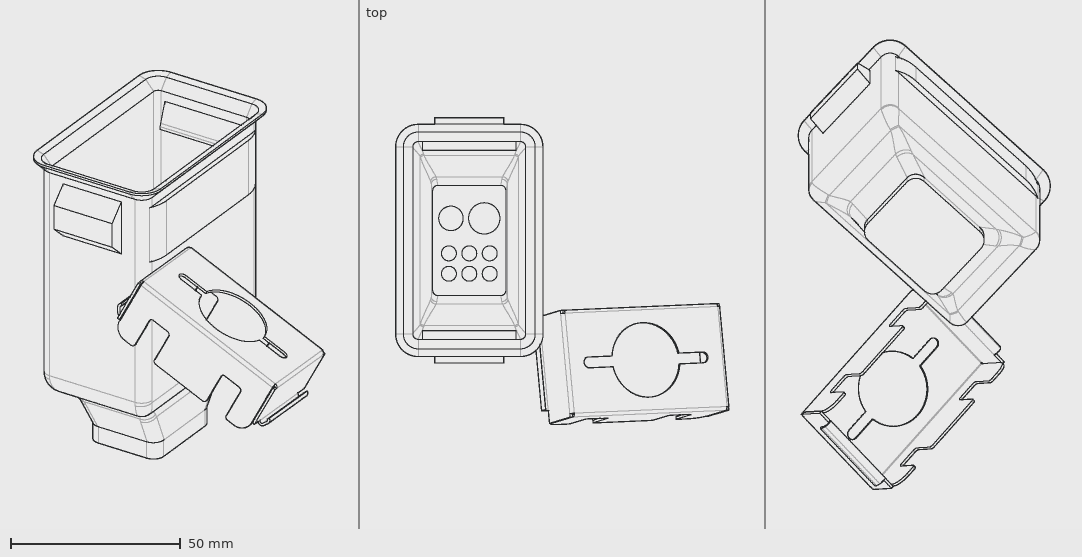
import cadquery as cq
import math

HEIGHT = 100.0
WALL = 2.0
BODY_HALF_X = 18.6
BODY_HALF_Y = 31.1
CORNER_RADIUS = 3.6

NECK_HALF_X = 12.1
NECK_HALF_Y = 14.8
NECK_TOP = 5.5
TAPER_ANGLE_X = 5.7
TAPER_ANGLE_Y = 28.2
SHOULDER_START_X = 27.4
SHOULDER_START_Y = 28.1
SHOULDER_RADIUS = 8.0
THROAT_RADIUS_X = 8.0
THROAT_RADIUS_Y = 9.3
FLOOR_Z = 12.4

RIM_FLARE = 3.1
RIM_BOTTOM = 96.1
LIP_BOTTOM = 99.3
LAND_WIDTH = 2.3
LAND_DROP = 0.7
RIM_HALF_X = BODY_HALF_X + RIM_FLARE
RIM_HALF_Y = BODY_HALF_Y + RIM_FLARE
RIM_RADIUS = CORNER_RADIUS + RIM_FLARE

HOLE_BOTTOM = 2.0
LARGE_HOLES_Y = 6.5
LARGE_HOLE_DIAMETER = 9.2
LARGE_HOLE_X = 4.4
MEDIUM_HOLE_DIAMETER = 7.2
MEDIUM_HOLE_X = -5.4
SMALL_HOLE_DIAMETER = 4.4
SMALL_HOLE_PITCH = 6.0
SMALL_HOLES_Y = -6.8

LATCH_HALF_WIDTH = 10.2
LATCH_REACH = 5.0
LATCH_BEVEL = 4.5
LATCH_BOTTOM = 76.4
LATCH_TOP = 93.8
RAMP_HALF_WIDTH = 13.7
RAMP_REACH = 2.6
RAMP_TOP = 92.9
RAMP_TIP = 86.6
RAMP_NOSE = 85.6
RAMP_BOTTOM = 84.7
RAMP_NOSE_DEPTH = 0.3

PAD_THICKNESS = 1.6
PAD_BOTTOM = 74.9
PAD_TOP = 93.1
PAD_FLAT_HALF = 22.0
PAD_END_HALF = 29.4
PAD_END_RADIUS = 13.0

PLATE_LENGTH = 52.0
PLATE_WIDTH = 31.7
SHEET = 0.8
BEND_RADIUS = 1.0
FLANGE_DEPTH = 19.8
FLANGE_CORNER_RADIUS = 4.3
FORK_SLOT_OFFSET = 13.6
FORK_SLOT_WIDTH = 7.4
FORK_SLOT_TOP = 8.1
FORK_CORNER_RADIUS = 1.0
KEYHOLE_DIAMETER = 22.1
KEYHOLE_SLOT_LENGTH = 40.5
KEYHOLE_SLOT_WIDTH = 3.2
HOOK_RADIUS = 1.4
HOOK_CENTER_DEPTH = 15.2
HOOK_FIRST_BEND = 152.0
HOOK_STRAIGHT = 1.5
HOOK_SECOND_BEND = 85.0
HOOK_SETBACK = 3.8

BRACKET_CENTER = (52.0, -35.1, 69.9)
BRACKET_TURN_X = -6.3
BRACKET_TURN_Y = 25.9
BRACKET_TURN_Z = 2.5


def toward(start, angle, distance):
    """Point at a distance from start, at an angle in degrees from the first axis."""
    return (
        start[0] + distance * math.cos(math.radians(angle)),
        start[1] + distance * math.sin(math.radians(angle)),
    )


def mirrored(point):
    return (-point[0], point[1])


def funnel_profile(plane, body_half, neck_half, taper, shoulder_start, throat_radius, inset):
    """Closed symmetric profile of the body and spout, with every side moved inward by inset.

    The shoulder arc leaves the body side, meets the throat arc tangentially,
    and the throat arc runs tangentially into the tapered side.
    """
    shoulder_center = (body_half - SHOULDER_RADIUS, shoulder_start)

    line_start = toward((neck_half, NECK_TOP), -taper, throat_radius)
    across = shoulder_center[0] - line_start[0]
    up = shoulder_center[1] - line_start[1]
    along = across * math.sin(math.radians(taper)) + up * math.cos(math.radians(taper))
    center_distance = SHOULDER_RADIUS + throat_radius
    step = along - math.sqrt(along**2 - across**2 - up**2 + center_distance**2)
    throat_center = toward(line_start, 90 - taper, step)

    meet_angle = math.degrees(
        math.atan2(throat_center[1] - shoulder_center[1], throat_center[0] - shoulder_center[0])
    )
    shoulder_arc = SHOULDER_RADIUS - inset
    throat_arc = throat_radius + inset
    arcs_meet = toward(shoulder_center, meet_angle, shoulder_arc)
    shoulder_middle = toward(shoulder_center, meet_angle / 2, shoulder_arc)
    taper_top = toward(throat_center, 180 - taper, throat_arc)
    throat_middle = toward(throat_center, 180 + (meet_angle - taper) / 2, throat_arc)
    taper_bottom = toward((neck_half, NECK_TOP), 180 - taper, inset)
    side = body_half - inset
    return (
        cq.Workplane(plane)
        .moveTo(*mirrored(taper_bottom))
        .lineTo(*taper_bottom)
        .lineTo(*taper_top)
        .threePointArc(throat_middle, arcs_meet)
        .threePointArc(shoulder_middle, (side, shoulder_start))
        .lineTo(side, HEIGHT)
        .lineTo(-side, HEIGHT)
        .lineTo(-side, shoulder_start)
        .threePointArc(mirrored(shoulder_middle), mirrored(arcs_meet))
        .threePointArc(mirrored(throat_middle), mirrored(taper_top))
        .close()
    )


def funnel(inset, bottom_z):
    """Body and tapered spout above bottom_z: the X and Y profiles crossed, with rounded corners."""
    across_x = funnel_profile(
        "XZ", BODY_HALF_X, NECK_HALF_X, TAPER_ANGLE_X, SHOULDER_START_X, THROAT_RADIUS_X, inset
    )
    across_y = funnel_profile(
        "YZ", BODY_HALF_Y, NECK_HALF_Y, TAPER_ANGLE_Y, SHOULDER_START_Y, THROAT_RADIUS_Y, inset
    )
    crossed = across_x.extrude(HEIGHT, both=True).intersect(across_y.extrude(HEIGHT, both=True))
    below = cq.Workplane("XY").box(HEIGHT, HEIGHT, bottom_z, centered=(True, True, False))
    return crossed.cut(below).edges("not #Z").fillet(CORNER_RADIUS - inset)


def rounded_block(half_x, half_y, radius, bottom_z, top_z, spread=0.0):
    """Upright block with rounded corners, wider all round by spread at its top."""
    height = top_z - bottom_z
    return (
        cq.Workplane("XY", origin=(0, 0, bottom_z))
        .sketch()
        .rect(2 * half_x, 2 * half_y)
        .vertices()
        .fillet(radius)
        .finalize()
        .extrude(height, taper=-math.degrees(math.atan2(spread, height)))
    )


def rim():
    """Flare around the top of the body, ending in the upright lip."""
    flare = rounded_block(BODY_HALF_X, BODY_HALF_Y, CORNER_RADIUS, RIM_BOTTOM, LIP_BOTTOM, RIM_FLARE)
    lip = rounded_block(RIM_HALF_X, RIM_HALF_Y, RIM_RADIUS, LIP_BOTTOM, HEIGHT)
    return flare.union(lip)


def rim_opening():
    """Widening mouth: a steep flare up to the land, then the shallow slope of the land."""
    mouth = rounded_block(
        BODY_HALF_X - WALL,
        BODY_HALF_Y - WALL,
        CORNER_RADIUS - WALL,
        RIM_BOTTOM,
        HEIGHT - LAND_DROP,
        WALL + RIM_FLARE - LAND_WIDTH,
    )
    land = rounded_block(
        RIM_HALF_X - LAND_WIDTH,
        RIM_HALF_Y - LAND_WIDTH,
        RIM_RADIUS - LAND_WIDTH,
        HEIGHT - LAND_DROP,
        HEIGHT,
        LAND_WIDTH,
    )
    return mouth.union(land)


def latch():
    """Bevelled block on the outside of the +Y wall."""
    root = BODY_HALF_Y - WALL / 2
    tip = BODY_HALF_Y + LATCH_REACH
    outline = [
        (root, LATCH_BOTTOM),
        (BODY_HALF_Y, LATCH_BOTTOM),
        (tip, LATCH_BOTTOM + LATCH_BEVEL),
        (tip, LATCH_TOP - LATCH_REACH),
        (BODY_HALF_Y, LATCH_TOP),
        (root, LATCH_TOP),
    ]
    return cq.Workplane("YZ").polyline(outline).close().extrude(LATCH_HALF_WIDTH, both=True)


def ramp():
    """Wedge on the inside of the +Y wall, sloping inward as it goes down."""
    root = BODY_HALF_Y - WALL / 2
    wall_face = BODY_HALF_Y - WALL
    tip = wall_face - RAMP_REACH
    outline = [
        (root, RAMP_TOP),
        (wall_face, RAMP_TOP),
        (tip + RAMP_NOSE_DEPTH, RAMP_TIP),
        (tip, RAMP_NOSE),
        (tip, RAMP_BOTTOM),
        (root, RAMP_BOTTOM),
    ]
    return cq.Workplane("YZ").polyline(outline).close().extrude(RAMP_HALF_WIDTH, both=True)


def pad():
    """Raised pad on the +X wall."""
    root = BODY_HALF_X - WALL / 2
    face = BODY_HALF_X + PAD_THICKNESS
    arc_center_x = face - PAD_END_RADIUS
    end_angle = math.degrees(math.asin((PAD_END_HALF - PAD_FLAT_HALF) / PAD_END_RADIUS))
    arc_end = toward((arc_center_x, PAD_FLAT_HALF), end_angle, PAD_END_RADIUS)
    arc_middle = toward((arc_center_x, PAD_FLAT_HALF), end_angle / 2, PAD_END_RADIUS)
    return (
        cq.Workplane("XY", origin=(0, 0, PAD_BOTTOM))
        .moveTo(root, -PAD_END_HALF)
        .lineTo(arc_end[0], -arc_end[1])
        .threePointArc((arc_middle[0], -arc_middle[1]), (face, -PAD_FLAT_HALF))
        .lineTo(face, PAD_FLAT_HALF)
        .threePointArc(arc_middle, arc_end)
        .lineTo(root, PAD_END_HALF)
        .close()
        .extrude(PAD_TOP - PAD_BOTTOM)
    )


def blind_holes(centers, diameter):
    """Upright cylinders from the bottom of the cable holes to the spout floor."""
    start = cq.Workplane("XY", origin=(0, 0, HOLE_BOTTOM)).pushPoints(centers)
    return start.circle(diameter / 2).extrude(FLOOR_Z - HOLE_BOTTOM)


def cable_holes():
    small_centers = [
        (column * SMALL_HOLE_PITCH, SMALL_HOLES_Y + row * SMALL_HOLE_PITCH)
        for column in (-1, 0, 1)
        for row in (-0.5, 0.5)
    ]
    small = blind_holes(small_centers, SMALL_HOLE_DIAMETER)
    medium = blind_holes([(MEDIUM_HOLE_X, LARGE_HOLES_Y)], MEDIUM_HOLE_DIAMETER)
    large = blind_holes([(LARGE_HOLE_X, LARGE_HOLES_Y)], LARGE_HOLE_DIAMETER)
    return small.union(medium).union(large)


def make_housing():
    neck = rounded_block(NECK_HALF_X, NECK_HALF_Y, CORNER_RADIUS, 0, NECK_TOP)
    shell = funnel(0, NECK_TOP).union(neck).union(rim())
    for feature in (latch(), pad()):
        shell = shell.union(feature).union(feature.rotate((0, 0, 0), (0, 0, 1), 180))
    shell = shell.cut(funnel(WALL, FLOOR_Z)).cut(rim_opening()).cut(cable_holes())
    return shell.union(ramp()).union(ramp().rotate((0, 0, 0), (0, 0, 1), 180))


def channel(span, run, depth):
    """Bent sheet with a flat top and two walls: span across X, run along Y."""
    def block(width, top):
        return (
            cq.Workplane("XY", origin=(0, 0, -depth))
            .box(width, run, depth - top, centered=(True, True, False))
        )

    outside = block(span, 0).edges("|Y and >Z").fillet(BEND_RADIUS)
    inside = block(span - 2 * SHEET, SHEET).edges("|Y and >Z").fillet(BEND_RADIUS - SHEET)
    return outside.cut(inside)


def fork_flanges():
    """Top plate with the two long flanges, each slotted into three tines."""
    length = PLATE_LENGTH - 2 * BEND_RADIUS
    sheet = channel(PLATE_WIDTH, length, FLANGE_DEPTH).rotate((0, 0, 0), (0, 0, 1), 90)
    return sheet.intersect(fork_outline())


def fork_outline():
    """Bar across the whole bracket with the outline of a slotted flange."""
    length = PLATE_LENGTH - 2 * BEND_RADIUS
    bar = cq.Workplane("XY", origin=(0, 0, -FLANGE_DEPTH)).box(
        length, PLATE_WIDTH, FLANGE_DEPTH, centered=(True, True, False)
    )
    bar = bar.faces("<Z").edges("|Y").fillet(FLANGE_CORNER_RADIUS)
    slots = (
        cq.Workplane("XY", origin=(0, 0, -FLANGE_DEPTH))
        .pushPoints([(-FORK_SLOT_OFFSET, 0), (FORK_SLOT_OFFSET, 0)])
        .rect(FORK_SLOT_WIDTH, PLATE_WIDTH)
        .extrude(FLANGE_DEPTH - FORK_SLOT_TOP)
        .edges("|Y and >Z")
        .fillet(FORK_CORNER_RADIUS)
    )
    slot_mouths = cq.selectors.BoxSelector(
        (-length / 2 + FLANGE_CORNER_RADIUS + SHEET, -PLATE_WIDTH, -FLANGE_DEPTH - SHEET),
        (length / 2 - FLANGE_CORNER_RADIUS - SHEET, PLATE_WIDTH, -FLANGE_DEPTH + SHEET),
    )
    return bar.cut(slots).edges("|Y").edges(slot_mouths).fillet(FORK_CORNER_RADIUS)


def hook():
    """Lip that curls outward from the bottom of the +X end wall: bend, straight, bend."""
    inner = HOOK_RADIUS - SHEET
    start = 180
    turn = start + HOOK_FIRST_BEND
    end = turn + HOOK_SECOND_BEND
    first_middle = (start + turn) / 2
    second_middle = (turn + end) / 2
    first = (PLATE_LENGTH / 2 - SHEET + HOOK_RADIUS, -HOOK_CENTER_DEPTH)
    second = toward(first, turn + 90, HOOK_STRAIGHT)
    run = PLATE_WIDTH - 2 * HOOK_SETBACK
    return (
        cq.Workplane("XZ", origin=(0, run / 2, 0))
        .moveTo(*toward(first, start, HOOK_RADIUS))
        .threePointArc(toward(first, first_middle, HOOK_RADIUS), toward(first, turn, HOOK_RADIUS))
        .lineTo(*toward(second, turn, HOOK_RADIUS))
        .threePointArc(toward(second, second_middle, HOOK_RADIUS), toward(second, end, HOOK_RADIUS))
        .lineTo(*toward(second, end, inner))
        .threePointArc(toward(second, second_middle, inner), toward(second, turn, inner))
        .lineTo(*toward(first, turn, inner))
        .threePointArc(toward(first, first_middle, inner), toward(first, start, inner))
        .close()
        .extrude(run)
    )


def end_wall():
    """Flat part of the +X end wall, as wide as the bracket."""
    return cq.Workplane("XY").box(SHEET, PLATE_WIDTH, HOOK_CENTER_DEPTH - BEND_RADIUS).translate(
        ((PLATE_LENGTH - SHEET) / 2, 0, -(HOOK_CENTER_DEPTH + BEND_RADIUS) / 2)
    )


def keyhole():
    """Round opening with a slot reaching out on both sides."""
    bottom = (0, 0, -BEND_RADIUS)
    opening = cq.Workplane("XY", origin=bottom).circle(KEYHOLE_DIAMETER / 2)
    slot = cq.Workplane("XY", origin=bottom).slot2D(KEYHOLE_SLOT_LENGTH, KEYHOLE_SLOT_WIDTH)
    return opening.extrude(BEND_RADIUS).union(slot.extrude(BEND_RADIUS))


def make_bracket():
    bent_ends = channel(PLATE_LENGTH, PLATE_WIDTH - 2 * BEND_RADIUS, HOOK_CENTER_DEPTH)
    sheet = fork_flanges().union(bent_ends)
    for feature in (end_wall(), hook()):
        sheet = sheet.union(feature).union(feature.rotate((0, 0, 0), (0, 0, 1), 180))
    sheet = sheet.cut(keyhole())
    return (
        sheet.rotate((0, 0, 0), (1, 0, 0), BRACKET_TURN_X)
        .rotate((0, 0, 0), (0, 1, 0), BRACKET_TURN_Y)
        .rotate((0, 0, 0), (0, 0, 1), BRACKET_TURN_Z)
        .translate(BRACKET_CENTER)
    )


housing = make_housing()
bracket = make_bracket()
result = cq.Compound.makeCompound([housing.val(), bracket.val()])